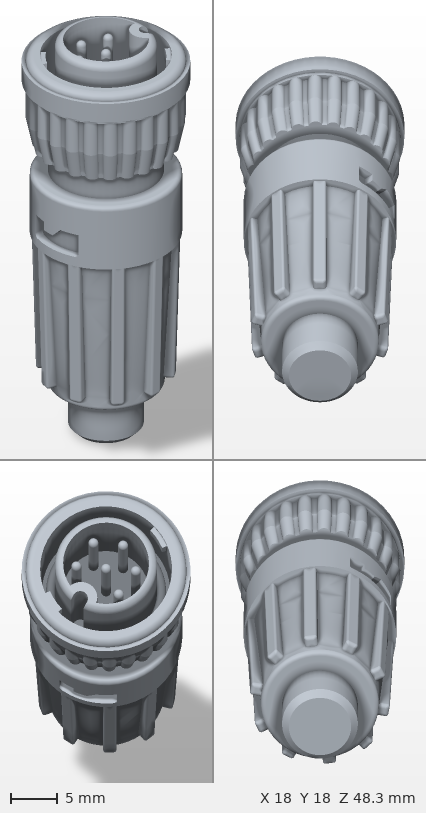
import cadquery as cq
import math

total_height = 48.25
cable_stub_top = 5.7
rib_bottom = 7.0
body_bottom = 24.45
body_top = 32.1
coupling_bottom = 35.4
taper_start = 38.8
lobe_top = 42.85
rim_bottom = 43.25
rim_top = 45.6
coupling_top = 46.4

stub_radius = 4.05
stub_chamfer = 0.7
grip_bottom_radius = 6.25
grip_top_radius = 7.3
grip_edge_fillet = 0.55
body_radius = 8.15
body_edge_fillet = 0.5
neck_radius = 6.2
neck_waist_radius = 6.13

datum_angle = 20.0

rib_count = 10
rib_width = 1.4
rib_bottom_radius = 7.48
rib_top_radius = 7.95
rib_end_fillet = 0.45
rib_edge_fillet = 0.25
rib_overlap = 0.5
rib_root_radius = 4.8

window_count = 2
window_half_width = 3.2
window_bottom = 25.6
window_top = 28.4
tooth_bottom = 27.35
tooth_left = -1.45
tooth_right = 0.0
window_corner_fillet = 0.45
window_floor_radius = 7.2

rim_radius = 9.0
coupling_radius = 8.6
coupling_edge_fillet = coupling_top - rim_top
coupling_bottom_radius = 7.85
lobe_count = 24
valley_radius = 8.05
lobe_fraction = 0.75
bore_top_radius = 7.05
bore_bottom_radius = 6.85

lug_count = 2
lug_angle = 22.5
lug_span = 21.0
lug_top = 46.15
lug_height = 1.45
lug_inner_radius = 6.45

shell_radius = 5.45
shell_bore_radius = 4.6
shell_edge_fillet = shell_radius - shell_bore_radius
seal_section_radius = 0.5
insert_top = taper_start
key_radius = 1.75
key_centre = 4.7
keyway_radius = 0.8
keyway_centre = 4.8
pin_radius = 0.55
pin_tip = 47.0
pin_circle_radius = 3.2
pin_angles = (-150, -90, -30, 30, 150)
mark_radius = 0.15
mark_depth = 0.25
mark_position = (2.1, 2.75)


def cylinder(radius, bottom, top, centre=(0, 0)):
    return cq.Workplane("XY", origin=(*centre, bottom)).circle(radius).extrude(top - bottom)


def polar(radius, angle):
    """Point at an angle in degrees from +X."""
    return (radius * math.cos(math.radians(angle)), radius * math.sin(math.radians(angle)))


def cable_stub():
    return cylinder(stub_radius, 0, cable_stub_top).faces("<Z").chamfer(stub_chamfer)


def grip():
    cone = (
        cq.Workplane("XY", origin=(0, 0, cable_stub_top))
        .circle(grip_bottom_radius)
        .workplane(offset=body_bottom - cable_stub_top)
        .circle(grip_top_radius)
        .loft()
        .faces("<Z")
        .edges()
        .fillet(grip_edge_fillet)
    )
    outer_side_edges = cq.selectors.BoxSelector(
        ((rib_root_radius + rib_bottom_radius) / 2, -rib_width, rib_bottom + rib_end_fillet),
        (rib_top_radius, rib_width, body_bottom),
    )
    rib = (
        cq.Workplane("XZ", origin=(0, rib_width / 2, 0))
        .polyline([
            (rib_root_radius, rib_bottom),
            (rib_bottom_radius, rib_bottom),
            (rib_top_radius, body_bottom),
            (rib_top_radius, body_bottom + rib_overlap),
            (rib_root_radius, body_bottom + rib_overlap),
        ])
        .close()
        .extrude(rib_width)
        .faces("<Z")
        .edges("not <X")
        .fillet(rib_end_fillet)
        .edges(outer_side_edges)
        .fillet(rib_edge_fillet)
    )
    pitch = 360 / rib_count
    first_angle = datum_angle - 90 + pitch / 2
    for i in range(rib_count):
        cone = cone.union(rib.rotate((0, 0, 0), (0, 0, 1), first_angle + i * pitch))
    return cone


def body():
    shell = cylinder(body_radius, body_bottom, body_top).faces(">Z").edges().fillet(body_edge_fillet)
    outline = [
        (-window_half_width, window_bottom),
        (window_half_width, window_bottom),
        (window_half_width, window_top),
        (tooth_right + window_top - tooth_bottom, window_top),
        (tooth_right, tooth_bottom),
        (tooth_left, tooth_bottom),
        (tooth_left, window_top),
        (-window_half_width, window_top),
    ]
    window = (
        cq.Workplane("XZ")
        .polyline(outline)
        .close()
        .extrude(body_radius + 0.5)
        .edges("|Y and <Z")
        .fillet(window_corner_fillet)
        .cut(cylinder(window_floor_radius, body_bottom, body_top))
    )
    for i in range(window_count):
        shell = shell.cut(window.rotate((0, 0, 0), (0, 0, 1), datum_angle + i * 360 / window_count))
    return shell


def neck():
    """Slightly waisted neck between the body and the coupling ring."""
    middle = (body_top + coupling_bottom) / 2
    return (
        cq.Workplane("XZ")
        .moveTo(0, body_top)
        .lineTo(neck_radius, body_top)
        .threePointArc((neck_waist_radius, middle), (neck_radius, coupling_bottom))
        .lineTo(0, coupling_bottom)
        .close()
        .revolve(360, (0, 0), (0, 1))
    )


def lobed_outline(plane, scale):
    """Ring of convex lobes with a valley facing each of the X and Y axes."""
    pitch = 360 / lobe_count
    half_lobe = lobe_fraction * pitch / 2
    outline = plane.moveTo(*polar(valley_radius * scale, pitch / 2 - half_lobe))
    for i in range(lobe_count):
        middle = (i + 0.5) * pitch
        peak = polar(coupling_radius * scale, middle)
        outline = outline.threePointArc(peak, polar(valley_radius * scale, middle + half_lobe))
        if i < lobe_count - 1:
            outline = outline.lineTo(*polar(valley_radius * scale, middle + pitch - half_lobe))
    return outline.close()


def coupling_ring():
    bottom_scale = coupling_bottom_radius / coupling_radius
    tapered = lobed_outline(cq.Workplane("XY", origin=(0, 0, coupling_bottom)), bottom_scale)
    tapered = lobed_outline(tapered.workplane(offset=taper_start - coupling_bottom), 1).loft(ruled=True)
    straight = lobed_outline(cq.Workplane("XY", origin=(0, 0, taper_start)), 1)
    straight = straight.extrude(lobe_top - taper_start)
    collar = cylinder(coupling_radius, lobe_top, coupling_top).faces(">Z").edges().fillet(coupling_edge_fillet)
    rim = cylinder(rim_radius, rim_bottom, rim_top)
    bore = (
        cq.Workplane("XY", origin=(0, 0, taper_start))
        .circle(bore_bottom_radius)
        .workplane(offset=coupling_top - taper_start)
        .circle(bore_top_radius)
        .loft()
    )
    ring = tapered.union(straight).union(collar).union(rim).cut(bore)
    for i in range(lug_count):
        ring = ring.union(bayonet_lug(-90 - lug_angle + i * 360 / lug_count))
    return ring


def bayonet_lug(angle):
    """Arc-shaped lug on the bore wall, centred on an angle from +X."""
    outer_radius = (bore_top_radius + coupling_bottom_radius) / 2
    start = angle - lug_span / 2
    end = angle + lug_span / 2
    return (
        cq.Workplane("XY", origin=(0, 0, lug_top - lug_height))
        .moveTo(*polar(lug_inner_radius, start))
        .threePointArc(polar(lug_inner_radius, angle), polar(lug_inner_radius, end))
        .lineTo(*polar(outer_radius, end))
        .threePointArc(polar(outer_radius, angle), polar(outer_radius, start))
        .close()
        .extrude(lug_height)
    )


def plug_shell():
    shell = cylinder(shell_radius, taper_start, total_height)
    shell = shell.faces(">Z").edges().fillet(shell_edge_fillet)
    key = cylinder(key_radius, insert_top, total_height, (0, key_centre))
    cavity = cylinder(shell_bore_radius, insert_top, total_height).cut(key)
    keyway = cylinder(keyway_radius, insert_top, total_height, (0, keyway_centre)).union(
        cq.Workplane("XY", origin=(0, keyway_centre, insert_top))
        .box(
            2 * keyway_radius,
            shell_radius - keyway_centre,
            total_height - insert_top,
            centered=(True, False, False),
        )
    )
    return shell.cut(cavity).cut(keyway)


def sealing_ring():
    """Ring hugging the shell, half sunk into the floor of the coupling ring."""
    return (
        cq.Workplane("XZ")
        .center(shell_radius + seal_section_radius, taper_start)
        .circle(seal_section_radius)
        .revolve(360, (-shell_radius - seal_section_radius, 0), (-shell_radius - seal_section_radius, 1))
    )


def contact_mark():
    return cylinder(mark_radius, insert_top - mark_depth, insert_top, mark_position)


def pin(centre):
    dome_base = pin_tip - pin_radius
    dome = cq.Workplane("XY", origin=(*centre, dome_base)).sphere(pin_radius)
    return cylinder(pin_radius, insert_top, dome_base, centre).union(dome)


result = cable_stub().union(grip()).union(body()).union(neck()).union(coupling_ring())
result = result.union(sealing_ring()).union(plug_shell()).cut(contact_mark())
for centre in [(0, 0)] + [polar(pin_circle_radius, angle) for angle in pin_angles]:
    result = result.union(pin(centre))